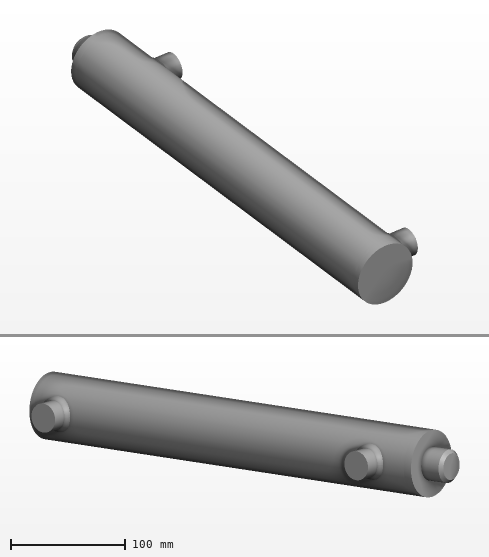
import cadquery as cq

total_length = 440.0
body_diameter = 60.0

rod_diameter = 30.0
rod_projection = 22.0
rod_chamfer = 3.0

head_length = 8.0
end_weld_width = 4.0
end_cap_length = 5.5

head_start = rod_projection
barrel_start = head_start + head_length
end_cap_start = total_length - end_cap_length
end_weld_start = end_cap_start - end_weld_width

port_diameter = 26.0
port_tip_y = 47.0
port_weld_leg = 3.5
first_port_x = 69.0
port_spacing = 342.8
port_positions = [first_port_x, first_port_x + port_spacing]


def axial_cylinder(diameter, start, end):
    """Solid cylinder on the X axis between two lengthwise positions."""
    return cq.Workplane("YZ", origin=(start, 0, 0)).circle(diameter / 2).extrude(end - start)


def make_rod():
    """Rod with a chamfered tip, passing through the head to the barrel."""
    return axial_cylinder(rod_diameter, 0, barrel_start).faces("<X").chamfer(rod_chamfer)


def make_head():
    """Ring that closes the rod end of the barrel."""
    ring = axial_cylinder(body_diameter, head_start, barrel_start)
    rod_hole = axial_cylinder(rod_diameter, head_start, barrel_start)
    return ring.cut(rod_hole)


def port_blank(x):
    """Full port cylinder from the body axis to the port tip."""
    return cq.Workplane("XZ", origin=(x, 0, 0)).circle(port_diameter / 2).extrude(-port_tip_y)


def make_port(x, barrel):
    """Port stub whose inner end is shaped to sit on the barrel."""
    return port_blank(x).cut(barrel)


def make_port_weld(x, barrel):
    """Saddle-shaped bevelled weld in the corner between a port and the barrel."""
    blank = port_blank(x)
    joined = barrel.union(blank)
    reach = port_diameter / 2
    corner_zone = cq.selectors.BoxSelector(
        (x - reach, port_diameter / 2, -reach),
        (x + reach, body_diameter / 2, reach),
    )
    welded = joined.edges(corner_zone).chamfer(port_weld_leg)
    return welded.cut(barrel).cut(blank)


rod = make_rod()
head = make_head()
barrel = axial_cylinder(body_diameter, barrel_start, end_weld_start)
end_weld = axial_cylinder(body_diameter, end_weld_start, end_cap_start)
end_cap = axial_cylinder(body_diameter, end_cap_start, total_length)
ports = [make_port(x, barrel) for x in port_positions]
port_welds = [make_port_weld(x, barrel) for x in port_positions]

result = cq.Compound.makeCompound([
    rod.solids().val(),
    head.solids().val(),
    barrel.val(),
    end_weld.val(),
    end_cap.val(),
    *[port.solids().val() for port in ports],
    *[weld.solids().val() for weld in port_welds],
])